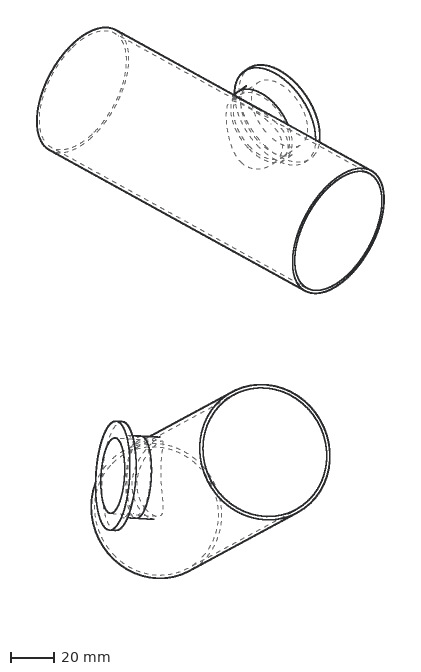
import cadquery as cq
import math

tube_length = 158.8
tube_radius = 31.8
wall = 1.6
tube_bore_radius = tube_radius - wall

branch_radius = 19.0
branch_bore_radius = branch_radius - wall
weld_fillet_radius = 1.0

ferrule_face_y = 47.6
ferrule_length = 12.5
flange_radius = 25.2
rim_thickness = 3.0
flange_slope = math.radians(20)
neck_fillet_radius = 1.6
joint_y = ferrule_face_y - ferrule_length


def cylinder_y(radius, start_y, end_y):
    """Solid cylinder on the Y axis between two Y positions."""
    return cq.Workplane("XZ", origin=(0, start_y, 0)).circle(radius).extrude(start_y - end_y)


def make_tee():
    """Tube with a short branch, filleted where the two meet and bored through."""
    tube = cq.Workplane("YZ").circle(tube_radius).extrude(tube_length / 2, both=True)
    tee = tube.union(cylinder_y(branch_radius, 0, joint_y))

    junction_low_y = math.sqrt(tube_radius**2 - branch_radius**2)
    junction_box = cq.selectors.BoxSelector(
        (-branch_radius, junction_low_y, -branch_radius),
        (branch_radius, tube_radius, branch_radius),
    )
    tee = tee.edges(junction_box).fillet(weld_fillet_radius)

    tube_bore = cq.Workplane("YZ").circle(tube_bore_radius).extrude(tube_length / 2, both=True)
    return tee.cut(tube_bore).cut(cylinder_y(branch_bore_radius, 0, joint_y))


def make_ferrule():
    """Revolved clamp ferrule: flat rim, sloping back face and a rounded neck."""
    rim_back_y = ferrule_face_y - rim_thickness

    fillet_centre_r = branch_radius + neck_fillet_radius
    slope_end_r = fillet_centre_r - neck_fillet_radius * math.sin(flange_slope)
    slope_end_y = rim_back_y - (flange_radius - slope_end_r) * math.tan(flange_slope)
    fillet_centre_y = slope_end_y - neck_fillet_radius * math.cos(flange_slope)
    mid_angle = (math.pi / 2 - flange_slope) / 2
    fillet_mid = (
        fillet_centre_r - neck_fillet_radius * math.cos(mid_angle),
        fillet_centre_y + neck_fillet_radius * math.sin(mid_angle),
    )

    return (
        cq.Workplane("XY")
        .moveTo(branch_bore_radius, joint_y)
        .lineTo(branch_bore_radius, ferrule_face_y)
        .lineTo(flange_radius, ferrule_face_y)
        .lineTo(flange_radius, rim_back_y)
        .lineTo(slope_end_r, slope_end_y)
        .threePointArc(fillet_mid, (branch_radius, fillet_centre_y))
        .lineTo(branch_radius, joint_y)
        .close()
        .revolve(360, (0, 0, 0), (0, 1, 0))
    )


tee = make_tee()
ferrule = make_ferrule()
result = cq.Compound.makeCompound([tee.solids().val(), ferrule.val()])